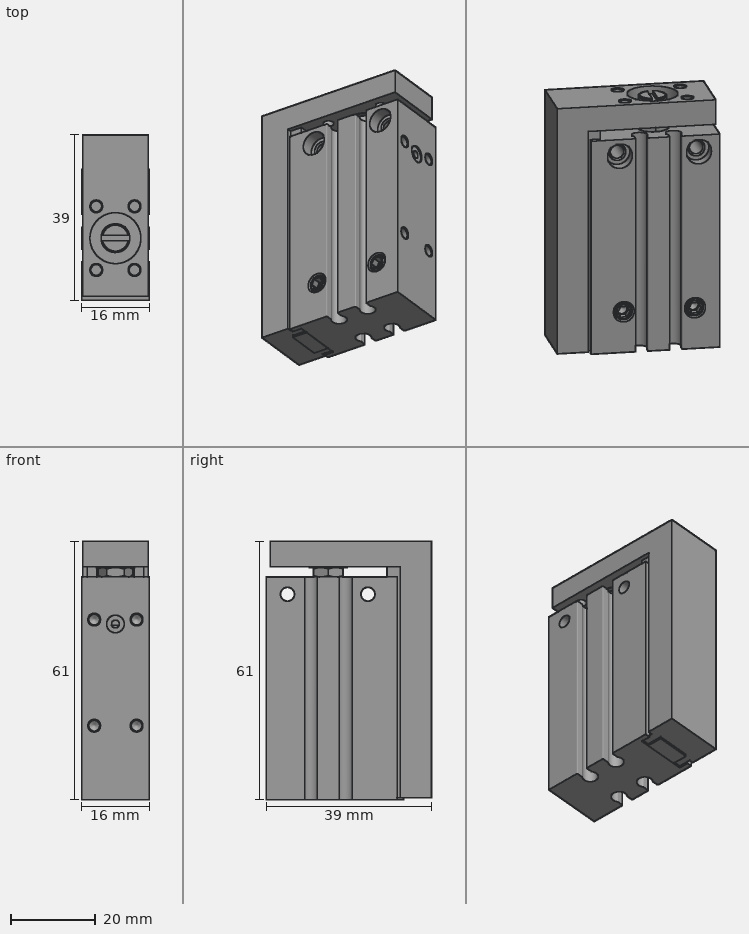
import cadquery as cq
import math


FLATS_PER_CORNERS = math.cos(math.radians(30))

HOUSING_WIDTH = 16.0
HOUSING_DEPTH = 30.85
HOUSING_HEIGHT = 52.6
HALF_WIDTH = HOUSING_WIDTH / 2

TOTAL_HEIGHT = 61.0
TOTAL_DEPTH = 39.0
TABLE_WIDTH = 15.5
TABLE_BOTTOM = 0.5
PLATE_THICKNESS = 7.45
PLATE_FRONT = TOTAL_DEPTH - PLATE_THICKNESS
HEAD_FRONT = 0.9
HEAD_THICKNESS = 6.05
HEAD_BOTTOM = TOTAL_HEIGHT - HEAD_THICKNESS

LEGS_WIDTH = 13.3
LEG_FRONT = 28.4
RAIL_WIDTH = 8.9
RAIL_BACK = 32.4
RAIL_HEIGHT = 53.15

ROD_Y = 14.65
ROD_DIAMETER = 6.8
ROD_TOP = 60.75
ROD_CHAMFER = 0.3
ROD_SLOT_WIDTH = 1.35
ROD_SLOT_DEPTH = 0.9
PISTON_DIAMETER = 8.0
PISTON_TOP = 41.25
PISTON_LENGTH = 6.1
PISTON_BOTTOM = PISTON_TOP - PISTON_LENGTH
HEAD_RECESS_DIAMETER = 12.0
HEAD_RECESS_DEPTH = 3.0
BOSS_DIAMETER = 9.0
BOSS_HEIGHT = 0.2
NUT_ACROSS_FLATS = 7.0
NUT_CORNER_DIAMETER = NUT_ACROSS_FLATS / FLATS_PER_CORNERS
NUT_CHAMFER_RADIAL = 0.55
NUT_CHAMFER_AXIAL = 0.3
NUT_HEIGHT = HEAD_BOTTOM - BOSS_HEIGHT - HOUSING_HEIGHT

SCREW_DIAMETER = 2.55
SCREW_MOUTH_DIAMETER = 3.0
HEAD_SCREW_SPACING_X = 9.0
HEAD_SCREW_SPACING_Y = 15.0
FRONT_SCREW_SPACING_X = 10.0
FRONT_SCREW_SPACING_Z = 25.0
FRONT_SCREW_BOTTOM_Z = 17.5
FRONT_SCREW_DEPTH = 5.0
DRILL_POINT_ANGLE = 118.0

MOUNT_Z = 48.5
MOUNT_YS = (5.0, 24.0)
MOUNT_DIAMETER = 3.25
MOUNT_MOUTH_DIAMETER = 4.0
COUNTERBORE_DIAMETER = 6.0
COUNTERBORE_DEPTH = 3.3

GROOVE_OFFSET = 4.1
GROOVE_NECK_WIDTH = 3.0
GROOVE_NECK_DEPTH = 1.75
GROOVE_DIAMETER = 3.8
GROOVE_EDGE_RADIUS = 0.17

PORT_Z = 10.05
PORT_YS = (6.0, 23.05)
PORT_MOUTH_DIAMETER = 5.0
PORT_DIAMETER = 4.15
PORT_DEPTH = 5.0
PLUG_FACE_DIAMETER = 3.55
HEX_ACROSS_FLATS = 2.55
HEX_DEPTH = 2.0
SOCKET_DRILL_DIAMETER = 2.45
SOCKET_DRILL_DEPTH = 2.45

ORIFICE_Z = 41.5
ORIFICE_PLUG_DIAMETER = 4.15
ORIFICE_PLUG_RECESS = 0.3
ORIFICE_PLUG_LENGTH = 3.0
ORIFICE_DIAMETER = 1.8
ORIFICE_PLUG_BACK = ORIFICE_PLUG_RECESS + ORIFICE_PLUG_LENGTH

FROM_SIDE = cq.Vector(1, 0, 0)
FROM_FRONT = cq.Vector(0, 1, 0)
FROM_TOP = cq.Vector(0, 0, -1)


def slab(width, y_front, y_back, z_bottom, z_top):
    """A box centred on X = 0."""
    box = cq.Workplane("XY").box(width, y_back - y_front, z_top - z_bottom, centered=(True, False, False))
    return box.translate((0, y_front, z_bottom))


def rod_cylinder(diameter, z_bottom, z_top):
    """An upright cylinder on the rod axis."""
    return cq.Workplane("XY", origin=(0, ROD_Y, z_bottom)).circle(diameter / 2).extrude(z_top - z_bottom)


def cylinder(diameter, length, start, direction):
    return cq.Workplane(cq.Solid.makeCylinder(diameter / 2, length, start, direction))


def cone(start_diameter, end_diameter, length, start, direction):
    return cq.Workplane(cq.Solid.makeCone(start_diameter / 2, end_diameter / 2, length, start, direction))


def chamfered_hole(mouth_diameter, diameter, depth, start, direction):
    """A hole with a 45 degree chamfer at its mouth."""
    chamfer = (mouth_diameter - diameter) / 2
    mouth = cone(mouth_diameter, diameter, chamfer, start, direction)
    return cylinder(diameter, depth, start, direction).union(mouth)


def pointed_hole(diameter, depth, start, direction):
    """A blind hole with a conical end beyond its full-diameter depth."""
    point_length = diameter / 2 / math.tan(math.radians(DRILL_POINT_ANGLE / 2))
    point = cone(diameter, 0, point_length, start + direction * depth, direction)
    return cylinder(diameter, depth, start, direction).union(point)


def mounting_hole(y):
    face = cq.Vector(-HALF_WIDTH, y, MOUNT_Z)
    floor = face + FROM_SIDE * COUNTERBORE_DEPTH
    counterbore = cylinder(COUNTERBORE_DIAMETER, COUNTERBORE_DEPTH, face, FROM_SIDE)
    through_length = HOUSING_WIDTH - COUNTERBORE_DEPTH
    return counterbore.union(
        chamfered_hole(MOUNT_MOUTH_DIAMETER, MOUNT_DIAMETER, through_length, floor, FROM_SIDE)
    )


def front_screw_hole(x, z):
    face = cq.Vector(x, 0, z)
    hole = chamfered_hole(SCREW_MOUTH_DIAMETER, SCREW_DIAMETER, FRONT_SCREW_DEPTH, face, FROM_FRONT)
    return hole.union(pointed_hole(SCREW_DIAMETER, FRONT_SCREW_DEPTH, face, FROM_FRONT))


def sensor_groove(side, y):
    """A keyhole groove over the full housing height; side is -1 or +1 along X."""
    half_neck = GROOVE_NECK_WIDTH / 2
    center_depth = GROOVE_NECK_DEPTH + math.sqrt((GROOVE_DIAMETER / 2) ** 2 - half_neck**2)
    center_x = side * (HALF_WIDTH - center_depth)
    neck = (
        cq.Workplane("XY", origin=(side * (HALF_WIDTH - center_depth / 2), y, 0))
        .rect(center_depth, GROOVE_NECK_WIDTH)
        .extrude(HOUSING_HEIGHT)
    )
    channel = cq.Workplane("XY", origin=(center_x, y, 0)).circle(GROOVE_DIAMETER / 2).extrude(HOUSING_HEIGHT)
    return neck.union(channel)


def neck_edges(body, side, y):
    """The four upright edges of a groove neck: two at the housing side, two at the channel."""
    half_neck = GROOVE_NECK_WIDTH / 2
    margin = GROOVE_EDGE_RADIUS
    outer = (side * (HALF_WIDTH + margin), y - half_neck - margin, 0)
    inner = (side * (HALF_WIDTH - GROOVE_NECK_DEPTH - margin), y + half_neck + margin, HOUSING_HEIGHT)
    return body.edges("|Z").edges(cq.selectors.BoxSelector(outer, inner))


def make_housing():
    body = slab(HOUSING_WIDTH, 0, HOUSING_DEPTH, 0, HOUSING_HEIGHT)
    body = body.cut(slab(LEGS_WIDTH, LEG_FRONT, HOUSING_DEPTH, 0, HOUSING_HEIGHT))
    body = body.cut(rod_cylinder(ROD_DIAMETER, PISTON_TOP, HOUSING_HEIGHT))
    body = body.cut(rod_cylinder(PISTON_DIAMETER, PISTON_BOTTOM, PISTON_TOP))
    for side in (-1, 1):
        for y in (ROD_Y - GROOVE_OFFSET, ROD_Y + GROOVE_OFFSET):
            body = body.cut(sensor_groove(side, y))
            body = neck_edges(body, side, y).fillet(GROOVE_EDGE_RADIUS)
    for y in MOUNT_YS:
        body = body.cut(mounting_hole(y))
    for y in PORT_YS:
        face = cq.Vector(-HALF_WIDTH, y, PORT_Z)
        body = body.cut(chamfered_hole(PORT_MOUTH_DIAMETER, PORT_DIAMETER, PORT_DEPTH, face, FROM_SIDE))
    for x in (-FRONT_SCREW_SPACING_X / 2, FRONT_SCREW_SPACING_X / 2):
        for z in (FRONT_SCREW_BOTTOM_Z, FRONT_SCREW_BOTTOM_Z + FRONT_SCREW_SPACING_Z):
            body = body.cut(front_screw_hole(x, z))
    face = cq.Vector(0, 0, ORIFICE_Z)
    body = body.cut(cylinder(ORIFICE_PLUG_DIAMETER, ORIFICE_PLUG_BACK, face, FROM_FRONT))
    return body.cut(cylinder(ORIFICE_DIAMETER, ROD_Y, face, FROM_FRONT))


def make_table():
    head = slab(TABLE_WIDTH, HEAD_FRONT, TOTAL_DEPTH, HEAD_BOTTOM, TOTAL_HEIGHT)
    plate = slab(TABLE_WIDTH, PLATE_FRONT, TOTAL_DEPTH, TABLE_BOTTOM, TOTAL_HEIGHT)
    legs = slab(LEGS_WIDTH, LEG_FRONT, PLATE_FRONT, TABLE_BOTTOM, HEAD_BOTTOM)
    rail_space = slab(RAIL_WIDTH, LEG_FRONT, RAIL_BACK, TABLE_BOTTOM, HEAD_BOTTOM)
    boss = rod_cylinder(BOSS_DIAMETER, HEAD_BOTTOM - BOSS_HEIGHT, HEAD_BOTTOM)
    body = head.union(plate).union(legs).cut(rail_space).union(boss)
    body = body.cut(rod_cylinder(ROD_DIAMETER, HEAD_BOTTOM - BOSS_HEIGHT, TOTAL_HEIGHT))
    body = body.cut(rod_cylinder(HEAD_RECESS_DIAMETER, TOTAL_HEIGHT - HEAD_RECESS_DEPTH, TOTAL_HEIGHT))
    for x in (-HEAD_SCREW_SPACING_X / 2, HEAD_SCREW_SPACING_X / 2):
        for y in (ROD_Y - HEAD_SCREW_SPACING_Y / 2, ROD_Y + HEAD_SCREW_SPACING_Y / 2):
            face = cq.Vector(x, y, TOTAL_HEIGHT)
            hole = chamfered_hole(SCREW_MOUTH_DIAMETER, SCREW_DIAMETER, HEAD_THICKNESS, face, FROM_TOP)
            body = body.cut(hole)
    return body


def make_rail():
    return slab(RAIL_WIDTH, LEG_FRONT, RAIL_BACK, 0, RAIL_HEIGHT)


def make_rod():
    """The rod with its piston and a screwdriver slot in its top."""
    shaft = rod_cylinder(ROD_DIAMETER, PISTON_BOTTOM, ROD_TOP).faces(">Z").chamfer(ROD_CHAMFER)
    half_slot = ROD_SLOT_WIDTH / 2
    slot = slab(ROD_DIAMETER, ROD_Y - half_slot, ROD_Y + half_slot, ROD_TOP - ROD_SLOT_DEPTH, ROD_TOP)
    return shaft.cut(slot).union(rod_cylinder(PISTON_DIAMETER, PISTON_BOTTOM, PISTON_TOP))


def make_nut():
    """A hexagon nut with corners on the X axis, chamfered at both ends."""
    base = cq.Workplane("XY", origin=(0, ROD_Y, HOUSING_HEIGHT))
    hexagon = base.polygon(6, NUT_CORNER_DIAMETER).extrude(NUT_HEIGHT)
    chamfered_round = (
        base.circle(NUT_CORNER_DIAMETER / 2)
        .extrude(NUT_HEIGHT)
        .faces("<Z or >Z")
        .chamfer(NUT_CHAMFER_AXIAL, NUT_CHAMFER_RADIAL)
    )
    bore = rod_cylinder(ROD_DIAMETER, HOUSING_HEIGHT, HOUSING_HEIGHT + NUT_HEIGHT)
    return hexagon.intersect(chamfered_round).cut(bore)


def make_port_plug(y):
    """A headless screw, flush with the -X side, with a hexagon socket over a drilled hole."""
    face = cq.Vector(-HALF_WIDTH, y, PORT_Z)
    chamfer = (PORT_DIAMETER - PLUG_FACE_DIAMETER) / 2
    tip = cone(PLUG_FACE_DIAMETER, PORT_DIAMETER, chamfer, face, FROM_SIDE)
    shank = cylinder(PORT_DIAMETER, PORT_DEPTH - chamfer, face + FROM_SIDE * chamfer, FROM_SIDE)
    corner_diameter = HEX_ACROSS_FLATS / FLATS_PER_CORNERS
    hexagon = cq.Workplane("YZ", origin=face.toTuple()).polygon(6, corner_diameter).extrude(PORT_DEPTH)
    socket = hexagon.intersect(pointed_hole(corner_diameter, HEX_DEPTH, face, FROM_SIDE))
    drill = pointed_hole(SOCKET_DRILL_DIAMETER, SOCKET_DRILL_DEPTH, face, FROM_SIDE)
    return tip.union(shank).cut(socket).cut(drill)


def make_orifice_plug():
    """A round insert, set slightly below the housing front, with an air hole through it."""
    start = cq.Vector(0, ORIFICE_PLUG_RECESS, ORIFICE_Z)
    plug = cylinder(ORIFICE_PLUG_DIAMETER, ORIFICE_PLUG_LENGTH, start, FROM_FRONT)
    return plug.cut(cylinder(ORIFICE_DIAMETER, ORIFICE_PLUG_LENGTH, start, FROM_FRONT))


housing = make_housing()
table = make_table()
rail = make_rail()
rod = make_rod()
nut = make_nut()
orifice_plug = make_orifice_plug()
port_plugs = [make_port_plug(y) for y in PORT_YS]

result = cq.Compound.makeCompound(
    [
        housing.val(),
        table.val(),
        rail.val(),
        rod.val(),
        nut.val(),
        orifice_plug.val(),
        *[plug.val() for plug in port_plugs],
    ]
)